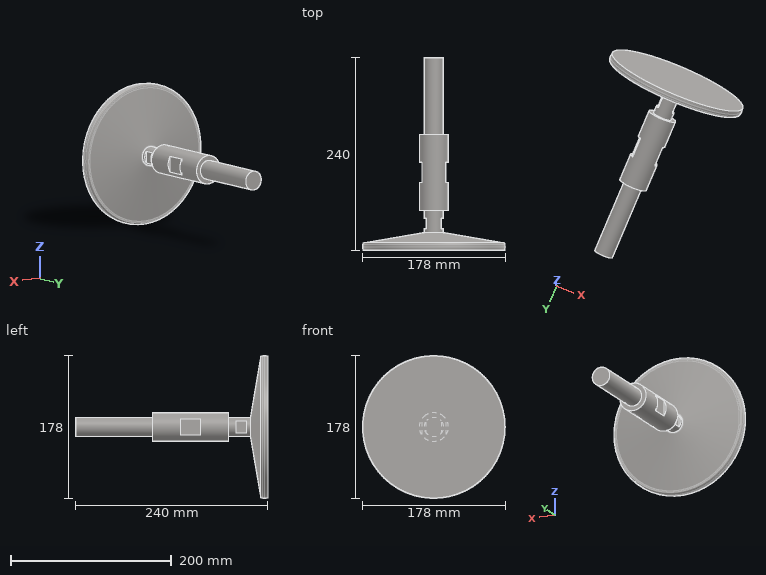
import cadquery as cq
import math


BASE_DIAMETER = 178.0
WIDEST_HEIGHT = 4.3
LOWER_TAPER_INSET = 0.6
RIM_ROUND_START = 7.2
UPPER_TAPER_INSET = 0.2
RIM_TOP = 9.8
RIM_ROUND_RADIUS = RIM_TOP - RIM_ROUND_START
CONE_FOOT_RADIUS = 84.2
CONE_TOP_RADIUS = 13.0
CONE_TOP = 22.0

ROD_DIAMETER = 24.0
SLEEVE_DIAMETER = 36.0
SLEEVE_START = 49.5
SLEEVE_END = 144.5
ROD_END = 240.0

NECK_FLATS_START = 27.0
NECK_FLATS_LENGTH = 13.0
NECK_ACROSS_FLATS = 19.0
SLEEVE_FLATS_START = 84.5
SLEEVE_FLATS_LENGTH = 25.0
SLEEVE_ACROSS_FLATS = 30.0

BASE_RADIUS = BASE_DIAMETER / 2
ROD_RADIUS = ROD_DIAMETER / 2
SLEEVE_RADIUS = SLEEVE_DIAMETER / 2


def revolve_about_y(profile):
    """Turn a closed XY half profile a full turn around the Y axis."""
    return profile.close().revolve(360, (0, 0, 0), (0, 1, 0))


def wrench_flats(start, length, across_flats, shaft_diameter):
    """Cutter for two parallel flats on a round shaft along Y."""
    blank = cq.Workplane("XY").box(shaft_diameter, length, shaft_diameter)
    web = cq.Workplane("XY").box(across_flats, length, shaft_diameter)
    return blank.cut(web).translate((0, start + length / 2, 0))


def make_base():
    """Conical base plate with a double-tapered rim, a rounded shoulder and a small flat top."""
    shoulder_radius = BASE_RADIUS - UPPER_TAPER_INSET
    round_mid_offset = RIM_ROUND_RADIUS * math.sqrt(0.5)
    round_center_radius = shoulder_radius - RIM_ROUND_RADIUS
    return revolve_about_y(
        cq.Workplane("XY")
        .lineTo(BASE_RADIUS - LOWER_TAPER_INSET, 0)
        .lineTo(BASE_RADIUS, WIDEST_HEIGHT)
        .lineTo(shoulder_radius, RIM_ROUND_START)
        .threePointArc(
            (round_center_radius + round_mid_offset, RIM_ROUND_START + round_mid_offset),
            (round_center_radius, RIM_TOP),
        )
        .lineTo(CONE_FOOT_RADIUS, RIM_TOP)
        .lineTo(CONE_TOP_RADIUS, CONE_TOP)
        .lineTo(0, CONE_TOP)
    )


def make_spindle():
    """Neck, sleeve and rod in one piece, with wrench flats on the neck and the sleeve."""
    spindle = revolve_about_y(
        cq.Workplane("XY")
        .moveTo(0, CONE_TOP)
        .lineTo(ROD_RADIUS, CONE_TOP)
        .lineTo(ROD_RADIUS, SLEEVE_START)
        .lineTo(SLEEVE_RADIUS, SLEEVE_START)
        .lineTo(SLEEVE_RADIUS, SLEEVE_END)
        .lineTo(ROD_RADIUS, SLEEVE_END)
        .lineTo(ROD_RADIUS, ROD_END)
        .lineTo(0, ROD_END)
    )
    neck_flats = wrench_flats(NECK_FLATS_START, NECK_FLATS_LENGTH, NECK_ACROSS_FLATS, ROD_DIAMETER)
    sleeve_flats = wrench_flats(
        SLEEVE_FLATS_START, SLEEVE_FLATS_LENGTH, SLEEVE_ACROSS_FLATS, SLEEVE_DIAMETER
    )
    return spindle.cut(neck_flats).cut(sleeve_flats)


base = make_base()
spindle = make_spindle()

result = cq.Compound.makeCompound([base.val(), spindle.val()])